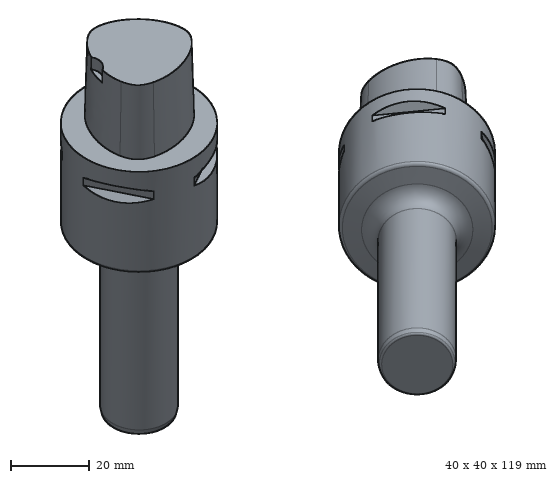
import cadquery as cq
import math


TAPER_LENGTH = 24.0
TAPER_BASE_DIAMETER = 28.0
TAPER_RATIO = 1 / 20
LOBE_ECCENTRICITY = 1.0
LOBE_COUNT = 3
LOBE_PITCH = 360 / LOBE_COUNT
SPLINE_STEPS = 12
FIRST_LOBE_ANGLE = 90.0

KEYWAY_RADIUS = 4.0
KEYWAY_DEPTH = 4.0
KEYWAY_FLOOR_OFFSET = 10.9

FLANGE_RADIUS = 20.0
FLANGE_STRAIGHT_LENGTH = 32.5
FLANGE_EDGE_FILLET = 1.0
BACK_CONE_ANGLE = 9.0

GROOVE_COUNT = 4
FIRST_GROOVE_ANGLE = 45.0
GROOVE_Z = -8.0
GROOVE_FLOOR_HEIGHT = 2.5
GROOVE_FLOOR_OFFSET = 17.65
GROOVE_FLANK_ANGLE = 30.0
GROOVE_CUTTER_OVERHANG = 1.0

STEM_RADIUS = 10.0
STEM_END_Z = -95.0
STEM_ROOT_FILLET = 5.0
STEM_LEAD_LENGTH = 2.0
STEM_LEAD_ANGLE = 12.0
STEM_EDGE_FILLET = 0.6


def lobe_point(mean_radius, degrees, z):
    """Point of the trilobe whose outward normal has the given angle."""
    turn = math.radians(degrees - FIRST_LOBE_ANGLE)
    e = LOBE_ECCENTRICITY
    along = mean_radius * math.cos(turn) + 2 * e * math.cos(2 * turn) - e * math.cos(4 * turn)
    across = mean_radius * math.sin(turn) - 2 * e * math.sin(2 * turn) - e * math.sin(4 * turn)
    return cq.Vector(-across, along, z)


def trilobe_wire(mean_radius, z):
    """Closed trilobe outline made of alternating lobe and flat stretches."""
    stretch = LOBE_PITCH / 2
    edges = []
    for index in range(2 * LOBE_COUNT):
        start = FIRST_LOBE_ANGLE + (index - 0.5) * stretch
        turns = [start + stretch * i / SPLINE_STEPS for i in range(SPLINE_STEPS + 1)]
        points = [lobe_point(mean_radius, turn, z) for turn in turns]
        edges.append(cq.Edge.makeSpline(points))
    return cq.Wire.assembleEdges(edges)


def make_taper():
    base_radius = TAPER_BASE_DIAMETER / 2
    end_radius = base_radius - TAPER_LENGTH * TAPER_RATIO / 2
    outlines = [trilobe_wire(base_radius, 0), trilobe_wire(end_radius, TAPER_LENGTH)]
    return cq.Workplane(cq.Solid.makeLoft(outlines, True))


def make_keyway():
    return (
        cq.Workplane("XY")
        .workplane(offset=TAPER_LENGTH - KEYWAY_DEPTH)
        .center(0, -KEYWAY_FLOOR_OFFSET - KEYWAY_RADIUS)
        .circle(KEYWAY_RADIUS)
        .extrude(KEYWAY_DEPTH)
    )


def arc_point(center, radius, angle):
    return (center[0] + radius * math.cos(angle), center[1] + radius * math.sin(angle))


def make_turned_body():
    """Flange, back cone, root fillet and stem as one revolved profile."""
    quarter = math.pi / 2
    cone = math.radians(BACK_CONE_ANGLE)
    lead = math.radians(STEM_LEAD_ANGLE)

    edge_center = (FLANGE_RADIUS - FLANGE_EDGE_FILLET, -FLANGE_STRAIGHT_LENGTH)
    edge_end_angle = cone - quarter
    edge_middle = arc_point(edge_center, FLANGE_EDGE_FILLET, edge_end_angle / 2)
    edge_end = arc_point(edge_center, FLANGE_EDGE_FILLET, edge_end_angle)

    corner_z = edge_end[1] - (edge_end[0] - STEM_RADIUS) * math.tan(cone)
    root_length = STEM_ROOT_FILLET * math.tan((quarter - cone) / 2)
    root_center = (STEM_RADIUS + STEM_ROOT_FILLET, corner_z - root_length)
    root_start_angle = quarter + cone
    root_start = arc_point(root_center, STEM_ROOT_FILLET, root_start_angle)
    root_middle = arc_point(root_center, STEM_ROOT_FILLET, (root_start_angle + math.pi) / 2)
    root_end = arc_point(root_center, STEM_ROOT_FILLET, math.pi)

    tip_radius = STEM_RADIUS - STEM_LEAD_LENGTH * math.tan(lead)
    tip_length = STEM_EDGE_FILLET * math.tan((quarter - lead) / 2)
    tip_center = (tip_radius - tip_length, STEM_END_Z + STEM_EDGE_FILLET)
    tip_start = arc_point(tip_center, STEM_EDGE_FILLET, -lead)
    tip_middle = arc_point(tip_center, STEM_EDGE_FILLET, -(lead + quarter) / 2)
    tip_end = arc_point(tip_center, STEM_EDGE_FILLET, -quarter)

    return (
        cq.Workplane("XZ")
        .moveTo(0, 0)
        .lineTo(FLANGE_RADIUS, 0)
        .lineTo(FLANGE_RADIUS, -FLANGE_STRAIGHT_LENGTH)
        .threePointArc(edge_middle, edge_end)
        .lineTo(*root_start)
        .threePointArc(root_middle, root_end)
        .lineTo(STEM_RADIUS, STEM_END_Z + STEM_LEAD_LENGTH)
        .lineTo(*tip_start)
        .threePointArc(tip_middle, tip_end)
        .lineTo(0, STEM_END_Z)
        .close()
        .revolve(360, (0, 0, 0), (0, 1, 0))
    )


def make_groove(angle):
    """Straight cutter with a flared section, pointing outward at the given angle."""
    outer = FLANGE_RADIUS + GROOVE_CUTTER_OVERHANG
    flare = (outer - GROOVE_FLOOR_OFFSET) * math.tan(math.radians(GROOVE_FLANK_ANGLE))
    half_floor = GROOVE_FLOOR_HEIGHT / 2
    return (
        cq.Workplane("XZ")
        .moveTo(GROOVE_FLOOR_OFFSET, GROOVE_Z - half_floor)
        .lineTo(outer, GROOVE_Z - half_floor - flare)
        .lineTo(outer, GROOVE_Z + half_floor + flare)
        .lineTo(GROOVE_FLOOR_OFFSET, GROOVE_Z + half_floor)
        .close()
        .extrude(FLANGE_RADIUS, both=True)
        .rotate((0, 0, 0), (0, 0, 1), angle)
    )


result = make_turned_body().union(make_taper()).cut(make_keyway())
for groove_index in range(GROOVE_COUNT):
    groove_angle = FIRST_GROOVE_ANGLE + groove_index * 360 / GROOVE_COUNT
    result = result.cut(make_groove(groove_angle))